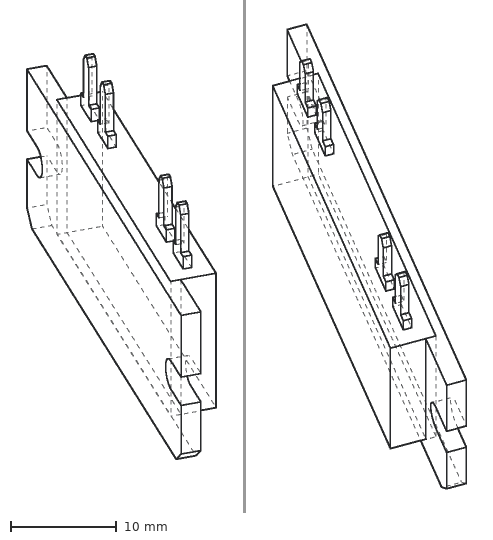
import cadquery as cq

plate_width = 46.0
plate_height = 17.0
plate_thickness = 2.0
corner_chamfer = 1.45
slot_width = 3.17
slot_depth = 4.6

housing_width = 33.95
housing_height = 15.1
housing_front_y = 0.95
housing_back_y = 5.5

pin_height = 6.4
pin_thickness = 0.85
pin_center_y = 3.2
pin_foot_width = 3.05
pin_foot_height = 1.4
pin_shank_width = 1.5
pin_tip_width = 0.5
pin_tip_height = 0.8
inner_pin_x = 8.75
pin_pitch = 5.0


def make_housing_block():
    """Rectangular block of the housing; it also shapes the recess in the plate."""
    return (
        cq.Workplane("XY")
        .box(
            housing_width,
            housing_back_y - housing_front_y,
            housing_height,
            centered=(True, False, False),
        )
        .translate((0, housing_front_y, plate_height - housing_height))
    )


def make_slot(side):
    """Cutter for the round-ended mounting slot in the left (-1) or right (+1) edge."""
    edge_x = side * plate_width / 2
    radius = slot_width / 2
    arc_center_x = edge_x - side * (slot_depth - radius)
    slot_tip_x = edge_x - side * slot_depth
    middle_z = plate_height / 2
    return (
        cq.Workplane("XZ")
        .moveTo(edge_x, middle_z - radius)
        .lineTo(arc_center_x, middle_z - radius)
        .threePointArc((slot_tip_x, middle_z), (arc_center_x, middle_z + radius))
        .lineTo(edge_x, middle_z + radius)
        .close()
        .extrude(-plate_thickness)
    )


def make_plate():
    """Plate with chamfered lower corners, two edge slots and the housing recess."""
    plate = (
        cq.Workplane("XY")
        .box(plate_width, plate_thickness, plate_height, centered=(True, False, False))
        .faces("<Z")
        .edges("|Y")
        .chamfer(corner_chamfer)
    )
    for side in (-1, 1):
        plate = plate.cut(make_slot(side))
    return plate.cut(make_housing_block())


def make_pin(center_x):
    """Terminal with a wide foot, a narrow shank and a tapered tip."""
    half_foot = pin_foot_width / 2
    half_shank = pin_shank_width / 2
    half_tip = pin_tip_width / 2
    shoulder_z = pin_height - pin_tip_height
    right_outline = [
        (half_foot, 0),
        (half_foot, pin_foot_height),
        (half_shank, pin_foot_height),
        (half_shank, shoulder_z),
        (half_tip, pin_height),
    ]
    left_outline = [(-x, z) for x, z in reversed(right_outline)]
    return (
        cq.Workplane("XZ")
        .polyline(right_outline + left_outline)
        .close()
        .extrude(pin_thickness / 2, both=True)
        .translate((center_x, pin_center_y, plate_height))
    )


def make_housing():
    """Housing block with its four terminals, in two mirrored pairs, as one solid."""
    housing = make_housing_block()
    for side in (-1, 1):
        for pin_x in (inner_pin_x, inner_pin_x + pin_pitch):
            housing = housing.union(make_pin(side * pin_x))
    return housing


plate = make_plate()
housing = make_housing()

result = cq.Compound.makeCompound([plate.solids().val(), housing.solids().val()])